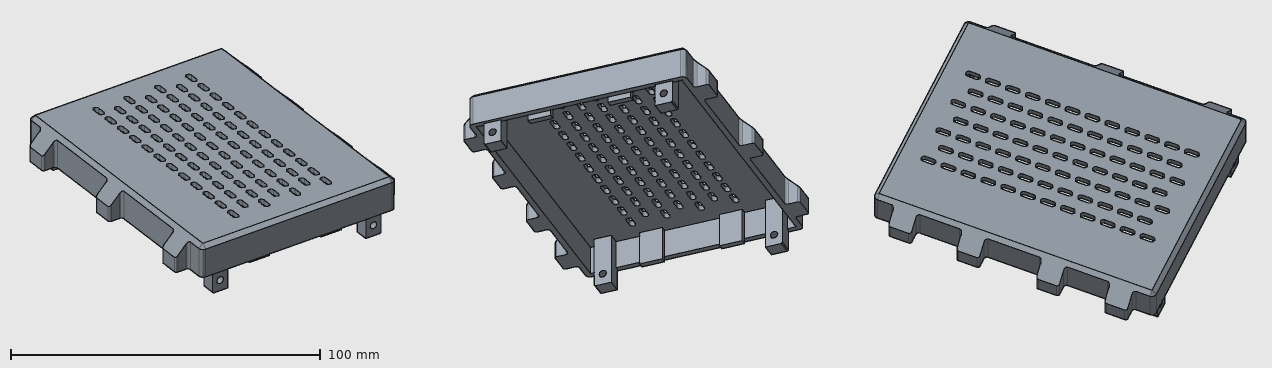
import cadquery as cq

body_length = 99.0
body_width = 76.0
body_height = 12.0
wall = 2.0
corner_radius = 1.6
top_chamfer = 1.5

block_width = 8.0
block_reach = 5.0
block_outer_radius = 0.8
block_root_radius = 1.0
block_embed = wall / 2
front_block_x = (-38.0, 0.0, 38.0)
back_block_x = (-38.0, -14.0, 14.0, 38.0)

slot_length = 5.0
slot_width = 2.0
slot_pitch_x = 7.0
slot_pitch_y = 6.05
slot_rows = 7
slots_in_long_row = 12

foot_thickness = 5.0
foot_width = 6.0
foot_drop = 8.0
foot_inset = 1.1
foot_y = 30.0
foot_chamfer = 0.4
foot_hole_diameter = 2.5
foot_hole_drop = 4.0

tab_thickness = 2.0
tab_width = 8.0
tab_drop = 2.0
tab_y = 14.0

half_length = body_length / 2
half_width = body_width / 2
ceiling_z = body_height - wall


def box_between(x_range, y_range, z_range):
    """Axis-aligned box given by its limits along X, Y and Z."""
    size = [limits[1] - limits[0] for limits in (x_range, y_range, z_range)]
    corner = (x_range[0], y_range[0], z_range[0])
    return cq.Workplane("XY").box(*size, centered=False).translate(corner)


def make_outer_body():
    """Solid block with rounded upright edges and a chamfered top."""
    block = cq.Workplane("XY").box(body_length, body_width, body_height, centered=(True, True, False))
    return block.edges("|Z").fillet(corner_radius).faces(">Z").chamfer(top_chamfer)


def make_cavity():
    """Space under the top plate, inside the four walls."""
    inner_length = body_length - 2 * wall
    inner_width = body_width - 2 * wall
    return cq.Workplane("XY").box(inner_length, inner_width, ceiling_z, centered=(True, True, False))


def make_block(x):
    """Front-wall block whose 45 degree slope carries on the plane of the top chamfer."""
    wall_y = -half_width
    outer_y = wall_y - block_reach
    half = block_width / 2
    flare = half + block_root_radius
    root_y = wall_y - block_root_radius
    column = (
        cq.Workplane("XY")
        .moveTo(-flare, wall_y + block_embed)
        .lineTo(-flare, wall_y)
        .radiusArc((-half, root_y), block_root_radius)
        .lineTo(-half, outer_y)
        .lineTo(half, outer_y)
        .lineTo(half, root_y)
        .radiusArc((flare, wall_y), block_root_radius)
        .lineTo(flare, wall_y + block_embed)
        .close()
        .extrude(body_height)
        .edges("|Z and <Y")
        .fillet(block_outer_radius)
    )
    inner_y = wall_y + block_embed
    slope_at_wall_z = body_height - top_chamfer
    side_profile = (
        cq.Workplane("YZ")
        .polyline([
            (inner_y, 0),
            (outer_y, 0),
            (outer_y, slope_at_wall_z - block_reach),
            (inner_y, slope_at_wall_z + block_embed),
        ])
        .close()
        .extrude(flare, both=True)
    )
    return column.intersect(side_profile).translate((x, 0, 0))


def make_slots():
    """Staggered rows of round-ended vents through the top plate."""
    points = []
    for row in range(slot_rows):
        count = slots_in_long_row - row % 2
        y = (row - (slot_rows - 1) / 2) * slot_pitch_y
        for column in range(count):
            x = (column - (count - 1) / 2) * slot_pitch_x
            points.append((x, y))
    return cq.Workplane("XY").pushPoints(points).slot2D(slot_length, slot_width).extrude(body_height)


def make_foot():
    """Foot at the -X, -Y corner with its cross hole, hanging from the top plate."""
    outer_x = -half_length + foot_inset
    y_range = (-foot_y - foot_width / 2, -foot_y + foot_width / 2)
    foot = box_between((outer_x, outer_x + foot_thickness), y_range, (-foot_drop, ceiling_z))
    foot = foot.faces("<Z").edges("<Y").chamfer(foot_chamfer)
    hole = (
        cq.Workplane("YZ", origin=(outer_x, 0, 0))
        .center(-foot_y, -foot_hole_drop)
        .circle(foot_hole_diameter / 2)
        .extrude(foot_thickness)
    )
    return foot.cut(hole)


def make_tab():
    """Locating tab on the -X wall, reaching a little below the rim."""
    outer_x = -half_length + wall
    y_range = (-tab_y - tab_width / 2, -tab_y + tab_width / 2)
    return box_between((outer_x, outer_x + tab_thickness), y_range, (-tab_drop, ceiling_z))


def in_four_quadrants(shape):
    """The shape and its mirror images across the XZ and YZ planes."""
    pair = shape.union(shape.mirror("XZ"))
    return pair.union(pair.mirror("YZ"))


result = make_outer_body().cut(make_cavity())
for block_x in front_block_x:
    result = result.union(make_block(block_x))
for block_x in back_block_x:
    result = result.union(make_block(block_x).mirror("XZ"))
result = result.union(in_four_quadrants(make_foot()))
result = result.union(in_four_quadrants(make_tab()))
result = result.cut(make_slots())